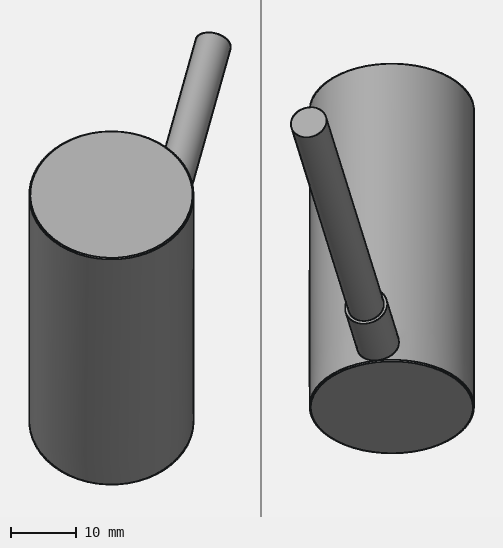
import cadquery as cq
import math

body_diameter = 25.05
body_height = 55.0
edge_chamfer = 0.2

cap_height = 6.0

cable_diameter = 5.5
sleeve_diameter = 6.5
sleeve_reach = 22.5
cable_axis_height = 3.5
cable_angle = 135.0
overall_width = 65.7

cable_reach = (overall_width - body_diameter / 2) * math.sqrt(2) - cable_diameter / 2


def body_section(bottom, top):
    """Length of the body cylinder between two heights."""
    return (
        cq.Workplane("XY")
        .workplane(offset=bottom)
        .circle(body_diameter / 2)
        .extrude(top - bottom)
    )


def make_body():
    cap = body_section(0, cap_height).faces("<Z").edges().chamfer(edge_chamfer)
    housing = body_section(cap_height, body_height).faces(">Z").edges().chamfer(edge_chamfer)
    return cap.union(housing, clean=False)


def radial_rod(diameter, reach):
    """Horizontal rod from the body axis outwards along the cable direction."""
    return (
        cq.Workplane("YZ")
        .center(0, cable_axis_height)
        .circle(diameter / 2)
        .extrude(reach)
        .rotate((0, 0, 0), (0, 0, 1), cable_angle)
    )


sleeve = radial_rod(sleeve_diameter, sleeve_reach)
cable = radial_rod(cable_diameter, cable_reach)
result = make_body().union(sleeve, clean=False).union(cable, clean=False)